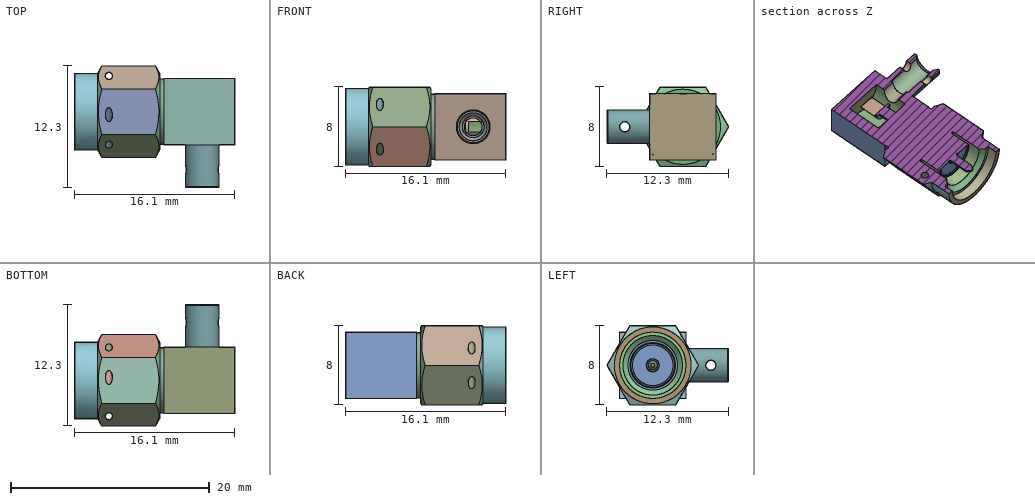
import cadquery as cq
import math


collar_radius = 3.87
nut_front = 2.32
nut_rear = 8.6
across_flats = 8.0
corner_radius = across_flats / math.sqrt(3)
nut_chamfer_slope = 1.8
nut_front_chamfer = (corner_radius - collar_radius) / nut_chamfer_slope
nut_rear_chamfer = 0.46

mouth_radius = 3.34
mouth_depth = 1.0
lead_in_radius = 3.0
nut_bore_radius = 2.5
lead_in_end = mouth_depth + (lead_in_radius - nut_bore_radius)
nut_bore_end = 5.0

wire_hole_diameter = 0.7
wire_hole_x = 3.45
wire_hole_offset = 3.61
wire_hole_count = 3

barrel_radius = 2.29
barrel_front = 2.6
barrel_chamfer = 0.09
insulator_radius = 2.04
insulator_recess = 0.15
pin_gap_outer_radius = 0.66
pin_gap_inner_radius = 0.62
pin_gap_depth = 0.1
pin_radius = 0.47
pin_tip_radius = 0.2
pin_tip_x = 0.34
pin_nose_length = 0.42

neck_radius = 3.3
block_side = 6.7
block_front = 9.0
block_rear = 16.15
block_half = block_side / 2

ferrule_x = 12.85
ferrule_radius = 1.7
overall_width = 12.27
ferrule_end = overall_width - corner_radius
ferrule_chamfer_length = 0.1
ferrule_chamfer_radius = 1.61
ferrule_bore_radius = 1.09
ferrule_mouth_radius = 1.41
ferrule_mouth_depth = 0.42
solder_hole_diameter = 1.0
solder_hole_y = -5.85
cable_passage_radius = 0.9

contact_radius = 1.0
contact_front = ferrule_x - 0.77
contact_rear = 14.4
shank_radius = 0.635
slot_width = 1.06
slot_start = ferrule_x - 0.49
cavity_radius = insulator_radius
cavity_front = 11.0
cavity_rear = 14.8


def cylinder_x(radius, start, end):
    """Solid cylinder on the main axis between two X positions."""
    return cq.Workplane("YZ").workplane(offset=start).circle(radius).extrude(end - start)


def turned_x(profile):
    """Solid of revolution about the main axis from (x, radius) points."""
    return cq.Workplane("XY").polyline(profile).close().revolve(360, (0, 0, 0), (1, 0, 0))


def turned_ferrule(profile):
    """Solid of revolution about the cable axis from (radius, y) points."""
    points = [(ferrule_x + radius, y) for radius, y in profile]
    return cq.Workplane("XY").polyline(points).close().revolve(360, (ferrule_x, 0, 0), (ferrule_x, 1, 0))


def make_nut():
    hexagon = (
        cq.Workplane("YZ")
        .workplane(offset=nut_front)
        .polygon(6, 2 * corner_radius)
        .extrude(nut_rear - nut_front)
    )
    chamfer_envelope = turned_x([
        (nut_front, 0),
        (nut_front, collar_radius),
        (nut_front + nut_front_chamfer, corner_radius),
        (nut_rear - nut_rear_chamfer, corner_radius),
        (nut_rear, corner_radius - nut_rear_chamfer * nut_chamfer_slope),
        (nut_rear, 0),
    ])
    nut = hexagon.intersect(chamfer_envelope).union(cylinder_x(collar_radius, 0, nut_front))
    mouth = turned_x([
        (0, 0),
        (0, mouth_radius),
        (mouth_depth, mouth_radius),
        (mouth_depth, lead_in_radius),
        (lead_in_end, nut_bore_radius),
        (nut_bore_end, nut_bore_radius),
        (nut_bore_end, 0),
    ])
    return nut.cut(mouth)


def drill_wire_holes(nut):
    hole = (
        cq.Workplane("XY")
        .center(wire_hole_x, wire_hole_offset)
        .circle(wire_hole_diameter / 2)
        .extrude(across_flats / 2, both=True)
    )
    for index in range(wire_hole_count):
        angle = index * 360 / wire_hole_count
        nut = nut.cut(hole.rotate((0, 0, 0), (1, 0, 0), angle))
    return nut


def make_barrel():
    insulator_front = barrel_front + insulator_recess
    barrel = turned_x([
        (insulator_front, 0),
        (insulator_front, insulator_radius),
        (barrel_front, insulator_radius),
        (barrel_front, barrel_radius - barrel_chamfer),
        (barrel_front + barrel_chamfer, barrel_radius),
        (nut_bore_end, barrel_radius),
        (nut_bore_end, 0),
    ])
    gap = cylinder_x(pin_gap_outer_radius, insulator_front, insulator_front + pin_gap_depth)
    gap = gap.cut(cylinder_x(pin_gap_inner_radius, insulator_front, insulator_front + pin_gap_depth))
    return barrel.cut(gap)


def make_pin():
    """Centre pin with a conical nose that ends in a small flat."""
    return turned_x([
        (pin_tip_x, 0),
        (pin_tip_x, pin_tip_radius),
        (pin_tip_x + pin_nose_length, pin_radius),
        (nut_bore_end, pin_radius),
        (nut_bore_end, 0),
    ])


def make_block():
    block = cq.Workplane("XY").box(
        block_rear - block_front, block_side, block_side, centered=(False, True, True)
    )
    return block.translate((block_front, 0, 0)).union(cylinder_x(neck_radius, nut_rear, block_front))


def make_ferrule():
    return turned_ferrule([
        (0, 0),
        (ferrule_radius, 0),
        (ferrule_radius, ferrule_chamfer_length - ferrule_end),
        (ferrule_chamfer_radius, -ferrule_end),
        (0, -ferrule_end),
    ])


def make_cable_bore():
    return turned_ferrule([
        (0, -ferrule_end),
        (ferrule_mouth_radius, -ferrule_end),
        (ferrule_bore_radius, ferrule_mouth_depth - ferrule_end),
        (ferrule_bore_radius, -block_half),
        (cable_passage_radius, -block_half),
        (cable_passage_radius, 0),
        (0, 0),
    ])


def make_solder_hole():
    return (
        cq.Workplane("YZ")
        .workplane(offset=ferrule_x)
        .center(solder_hole_y, 0)
        .circle(solder_hole_diameter / 2)
        .extrude(2 * ferrule_radius, both=True)
    )


def make_contact():
    shank = cylinder_x(shank_radius, cavity_front, contact_front)
    head = cylinder_x(contact_radius, contact_front, contact_rear)
    slot = cq.Workplane("XY").box(
        contact_rear - slot_start, 2 * contact_radius, slot_width, centered=(False, True, True)
    )
    return shank.union(head).cut(slot.translate((slot_start, 0, 0)))


body = drill_wire_holes(make_nut()).union(make_barrel()).union(make_pin())
body = body.union(make_block()).union(make_ferrule())
body = body.cut(cylinder_x(cavity_radius, cavity_front, cavity_rear))
body = body.cut(make_cable_bore()).cut(make_solder_hole())
result = body.union(make_contact())